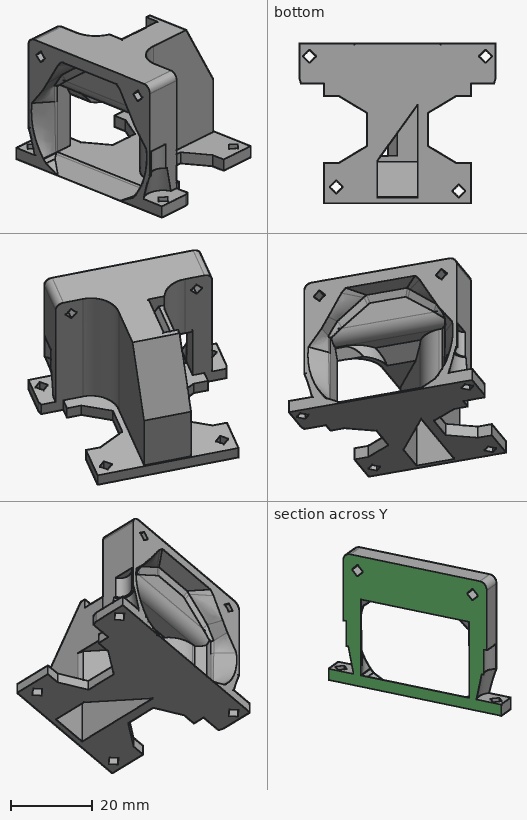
import cadquery as cq
import math

FAN_SIZE = 40.0
BLOCK_HEIGHT = 34.63
BLOCK_DEPTH = 9.8
BLOCK_CORNER_RADIUS = 2.0
FAN_CENTER_Z = BLOCK_HEIGHT - FAN_SIZE / 2
FAN_BORE_RADIUS = 19.0
FAN_SCREW_OFFSET = 16.0
FAN_SCREW_DIAMETER = 2.94

PLATE_THICKNESS = 3.1
EAR_SPAN = 48.0
EAR_CORNER_X = 0.35
EAR_CORNER_Y = 1.2
PLATE_HALF_WIDTH = 18.0
PLATE_BACK_Y = 39.11
PLATE_WAIST_HALF = 7.5
PLATE_SHOULDER_HALF = 14.35
FRONT_SHOULDER_Y = 12.9
WAIST_FRONT_Y = 17.0
WAIST_BACK_Y = 25.1
BACK_SHOULDER_Y = 29.2
MOUNT_DIAMETER = 3.2
EAR_HOLE_X = 21.56
EAR_HOLE_Y = 3.15
BACK_HOLES = [(-15.0, 35.1), (15.0, 36.1)]

NECK_HALF_WIDTH = 6.0
NECK_BACK_Y = 38.75
NECK_SLOPE_BASE_Z = 17.5
NECK_SLOPE_ANGLE = 60.0
FLARE_RADIUS = 7.0
FLARE_X = NECK_HALF_WIDTH + FLARE_RADIUS
FLARE_Y = BLOCK_DEPTH + FLARE_RADIUS

PASSAGE_HALF_WIDTH = 15.0
HOOD_KNEE_Y = 4.3
HOOD_DEPTH = 5.0
THROAT_CORNER_X = 13.0
THROAT_CORNER_Y = 6.3
THROAT_END_Y = 8.35
DUCT_WALL = 1.5
EXIT_TOP_Z = 17.15
EXIT_BACK_Y = 29.76
LIP_RADIUS = 3.2
DUCT_TOP_Z = 20.2
ROOF_SLOPE_Y = 12.07
ROOF_FLAT_Y = 16.4
DEFLECTOR_LEFT = (-5.6, 28.35)
DEFLECTOR_RIGHT = (6.1, 12.07)
RAMP_DEPTH = 4.4
RAMP_TOP_Z = 2.8

SLOT_FRONT_Y = 14.5
SLOT_BACK_Y = 27.5
SLOT_SILL_Z = 31.7
SLOT_RIGHT_X = -2.34
SLOT_CEILING_Z = 32.4
SLOT_FLOOR_ANGLE = 55.0
NECK_WALL = 1.05
DEFLECTOR_THICKNESS = 0.75

DRIVER_RADIUS = 3.05
DRIVER_TOP_Z = 16.6
HEAD_TOP_Z = 10.0
HEAD_TOP_RADIUS = 3.5
HEAD_BASE_RADIUS = 4.8

OVERCUT = 1.0


def mirrored_outline(half):
    """Close a right-hand half outline with its mirror image across x = 0."""
    return half + [(-x, y) for x, y in reversed(half)]


def diamond_hole(plane, center, diameter, start, length):
    """Four-sided hole cutter with its corners on the plane axes."""
    profile = cq.Workplane(plane).workplane(offset=start).center(*center)
    return profile.polygon(4, diameter).extrude(length)


def extrude_across(points, left_x, right_x):
    """Prism from a (y, z) outline, running along X."""
    profile = cq.Workplane("YZ").workplane(offset=left_x).polyline(points).close()
    return profile.extrude(right_x - left_x)


def make_fan_block():
    block = cq.Workplane("XY").box(FAN_SIZE, BLOCK_DEPTH, BLOCK_HEIGHT, centered=(True, False, False))
    return block.edges("|Y and >Z").fillet(BLOCK_CORNER_RADIUS)


def make_base():
    ear_half = EAR_SPAN / 2
    ears = mirrored_outline([
        (ear_half, 0),
        (ear_half, BLOCK_DEPTH - EAR_CORNER_Y),
        (ear_half - EAR_CORNER_X, BLOCK_DEPTH),
    ])
    plate = mirrored_outline([
        (PLATE_HALF_WIDTH, 0),
        (PLATE_HALF_WIDTH, FRONT_SHOULDER_Y),
        (PLATE_SHOULDER_HALF, FRONT_SHOULDER_Y),
        (PLATE_WAIST_HALF, WAIST_FRONT_Y),
        (PLATE_WAIST_HALF, WAIST_BACK_Y),
        (PLATE_SHOULDER_HALF, BACK_SHOULDER_Y),
        (PLATE_HALF_WIDTH, BACK_SHOULDER_Y),
        (PLATE_HALF_WIDTH, PLATE_BACK_Y),
    ])
    base = cq.Workplane("XY").polyline(ears).close().extrude(PLATE_THICKNESS)
    return base.union(cq.Workplane("XY").polyline(plate).close().extrude(PLATE_THICKNESS))


def flared_column(inset, front_y, back_y, bottom_z, top_z):
    """Neck-shaped column, flaring to the block, shrunk inward by inset."""
    half = NECK_HALF_WIDTH - inset
    radius = FLARE_RADIUS + inset
    diagonal = radius * math.sqrt(0.5)
    flare_end_y = FLARE_Y - radius
    mid_x = FLARE_X - diagonal
    mid_y = FLARE_Y - diagonal
    outline = (
        cq.Workplane("XY").workplane(offset=bottom_z)
        .moveTo(-FLARE_X, front_y)
        .lineTo(FLARE_X, front_y)
        .lineTo(FLARE_X, flare_end_y)
        .threePointArc((mid_x, mid_y), (half, FLARE_Y))
        .lineTo(half, back_y)
        .lineTo(-half, back_y)
        .lineTo(-half, FLARE_Y)
        .threePointArc((-mid_x, mid_y), (-FLARE_X, flare_end_y))
        .close()
    )
    return outline.extrude(top_z - bottom_z)


def space_behind_slope(wall):
    """Wedge behind the sloping back of the neck, moved inward by a wall thickness."""
    angle = math.radians(NECK_SLOPE_ANGLE)
    back_y = NECK_BACK_Y - wall / math.sin(angle)
    slope_run = (BLOCK_HEIGHT - NECK_SLOPE_BASE_Z) / math.tan(angle)
    outline = [
        (back_y, NECK_SLOPE_BASE_Z),
        (NECK_BACK_Y + OVERCUT, NECK_SLOPE_BASE_Z),
        (NECK_BACK_Y + OVERCUT, BLOCK_HEIGHT),
        (back_y - slope_run, BLOCK_HEIGHT),
    ]
    return extrude_across(outline, -NECK_HALF_WIDTH, NECK_HALF_WIDTH)


def make_neck():
    neck = flared_column(0, THROAT_END_Y, NECK_BACK_Y, 0, BLOCK_HEIGHT)
    return neck.cut(space_behind_slope(0))


def fan_section(workplane, half, arc_mid):
    """Closed fan opening section; its lower sides bow out when arc_mid is given."""
    shoulder = half[-2]
    foot = half[-1]
    section = workplane.moveTo(*half[0])
    for point in half[1:-1]:
        section = section.lineTo(*point)
    if arc_mid:
        section = section.threePointArc(arc_mid, foot)
    else:
        section = section.lineTo(*foot)
    section = section.lineTo(-foot[0], foot[1])
    if arc_mid:
        section = section.threePointArc((-arc_mid[0], arc_mid[1]), (-shoulder[0], shoulder[1]))
    else:
        section = section.lineTo(-shoulder[0], shoulder[1])
    for x, z in reversed(half[:-2]):
        section = section.lineTo(-x, z)
    return section.close()


def bore_half_width(z):
    return math.sqrt(FAN_BORE_RADIUS ** 2 - (z - FAN_CENTER_Z) ** 2)


def make_fan_cavity():
    """Hood tapering from the bored front opening to the back of the block."""
    shoulder_z = 17.0
    mid_z = FAN_CENTER_Z - 5.0
    front = [
        (9.1, 31.5),
        (10.2, 30.3),
        (13.65, 24.4),
        (15.4, 21.5),
        (bore_half_width(shoulder_z), shoulder_z),
        (bore_half_width(PLATE_THICKNESS), PLATE_THICKNESS),
    ]
    knee_width = 15.3
    knee = [
        (5.3, 30.9),
        (6.0, 30.4),
        (12.9, 25.1),
        (knee_width, 21.4),
        (knee_width, shoulder_z),
        (PASSAGE_HALF_WIDTH, PLATE_THICKNESS),
    ]
    back = [
        (4.7, 28.9),
        (5.24, 28.5),
        (12.0, 23.5),
        (PASSAGE_HALF_WIDTH, 21.0),
        (PASSAGE_HALF_WIDTH, shoulder_z),
        (PASSAGE_HALF_WIDTH, PLATE_THICKNESS),
    ]
    front_plane = cq.Workplane("XZ")
    mouth = fan_section(front_plane, front, (bore_half_width(mid_z), mid_z))
    bend = fan_section(mouth.workplane(offset=-HOOD_KNEE_Y), knee, None)
    throat = fan_section(bend.workplane(offset=HOOD_KNEE_Y - HOOD_DEPTH), back, None)
    return throat.loft(ruled=True, combine=True)


def make_entry_ramp():
    """Floor ramp from the bottom front edge up to the passage floor."""
    mouth = mirrored_outline([
        (10.2, 0),
        (14.2, 2.1),
        (bore_half_width(PLATE_THICKNESS), PLATE_THICKNESS),
    ])
    opening = cq.Workplane("XZ").polyline(mouth).close().extrude(-HOOD_DEPTH)
    above_ramp = extrude_across(
        [
            (0, 0),
            (RAMP_DEPTH, RAMP_TOP_Z),
            (HOOD_DEPTH, PLATE_THICKNESS),
            (0, PLATE_THICKNESS),
        ],
        -PASSAGE_HALF_WIDTH,
        PASSAGE_HALF_WIDTH,
    )
    return opening.intersect(above_ramp)


def deflector_y(x):
    """Y of the deflector's front face at the given x."""
    slope = (DEFLECTOR_RIGHT[1] - DEFLECTOR_LEFT[1]) / (DEFLECTOR_RIGHT[0] - DEFLECTOR_LEFT[0])
    return DEFLECTOR_LEFT[1] + slope * (x - DEFLECTOR_LEFT[0])


def make_throat():
    """Straight start of the passage behind the hood, with its right corner cut off."""
    outline = [
        (-PASSAGE_HALF_WIDTH, HOOD_DEPTH),
        (PASSAGE_HALF_WIDTH, HOOD_DEPTH),
        (PASSAGE_HALF_WIDTH, THROAT_CORNER_Y),
        (THROAT_CORNER_X, THROAT_END_Y),
        (-PASSAGE_HALF_WIDTH, THROAT_END_Y),
    ]
    return cq.Workplane("XY").polyline(outline).close().extrude(BLOCK_HEIGHT)


def make_duct():
    """Passage inside the neck, turned to the left by the diagonal deflector."""
    column = flared_column(DUCT_WALL, HOOD_DEPTH, EXIT_BACK_Y, 0, BLOCK_HEIGHT)
    lip_end_y = HOOD_DEPTH + LIP_RADIUS
    lip_top_z = DUCT_TOP_Z + LIP_RADIUS
    lip_diagonal = LIP_RADIUS * math.sqrt(0.5)
    under_roof = (
        cq.Workplane("YZ").workplane(offset=-PASSAGE_HALF_WIDTH)
        .moveTo(HOOD_DEPTH, PLATE_THICKNESS)
        .lineTo(HOOD_DEPTH, lip_top_z)
        .threePointArc((lip_end_y - lip_diagonal, lip_top_z - lip_diagonal), (lip_end_y, DUCT_TOP_Z))
        .lineTo(ROOF_SLOPE_Y, DUCT_TOP_Z)
        .lineTo(ROOF_FLAT_Y, EXIT_TOP_Z)
        .lineTo(EXIT_BACK_Y, EXIT_TOP_Z)
        .lineTo(EXIT_BACK_Y, PLATE_THICKNESS)
        .close()
        .extrude(2 * PASSAGE_HALF_WIDTH)
    )
    before_deflector = (
        cq.Workplane("XY")
        .moveTo(-PASSAGE_HALF_WIDTH, HOOD_DEPTH)
        .lineTo(PASSAGE_HALF_WIDTH, HOOD_DEPTH)
        .lineTo(PASSAGE_HALF_WIDTH, DEFLECTOR_RIGHT[1])
        .lineTo(*DEFLECTOR_RIGHT)
        .lineTo(*DEFLECTOR_LEFT)
        .lineTo(-PASSAGE_HALF_WIDTH, DEFLECTOR_LEFT[1])
        .close()
        .extrude(BLOCK_HEIGHT)
    )
    return column.union(make_throat()).intersect(under_roof).intersect(before_deflector)


def make_side_exit():
    """Opening through the left of the neck and the back of the block."""
    outline = [
        (-PASSAGE_HALF_WIDTH, HOOD_DEPTH),
        (0, HOOD_DEPTH),
        (0, deflector_y(0)),
        DEFLECTOR_LEFT,
        (-NECK_HALF_WIDTH, EXIT_BACK_Y),
        (-PASSAGE_HALF_WIDTH, EXIT_BACK_Y),
    ]
    profile = cq.Workplane("XY").workplane(offset=PLATE_THICKNESS).polyline(outline).close()
    exit_void = profile.extrude(EXIT_TOP_Z - PLATE_THICKNESS)
    lip_end_y = HOOD_DEPTH + LIP_RADIUS
    sloped_roof = extrude_across(
        [(lip_end_y, EXIT_TOP_Z), (lip_end_y, DUCT_TOP_Z), (BLOCK_DEPTH, EXIT_TOP_Z)],
        -PASSAGE_HALF_WIDTH,
        -NECK_HALF_WIDTH + DUCT_WALL,
    )
    return exit_void.union(sloped_roof)


def make_wire_slot():
    """Slot at the left of the neck that slants down to the right into the shaft."""
    right_x = SLOT_RIGHT_X + BLOCK_HEIGHT - SLOT_CEILING_Z
    sill_x = -NECK_HALF_WIDTH + NECK_WALL
    floor_drop = (right_x - sill_x) * math.tan(math.radians(SLOT_FLOOR_ANGLE))
    outline = [
        (-FLARE_X, BLOCK_HEIGHT),
        (SLOT_RIGHT_X, BLOCK_HEIGHT),
        (right_x, SLOT_CEILING_Z),
        (right_x, SLOT_SILL_Z - floor_drop),
        (sill_x, SLOT_SILL_Z),
        (-FLARE_X, SLOT_SILL_Z),
    ]
    profile = cq.Workplane("XZ").workplane(offset=-SLOT_FRONT_Y).polyline(outline).close()
    return profile.extrude(SLOT_FRONT_Y - SLOT_BACK_Y)


def make_wire_shaft():
    """Hollow behind the deflector and the sloping back, open at the bottom."""
    run_x = DEFLECTOR_RIGHT[0] - DEFLECTOR_LEFT[0]
    run_y = DEFLECTOR_LEFT[1] - DEFLECTOR_RIGHT[1]
    wall_shift_y = DEFLECTOR_THICKNESS * math.hypot(run_x, run_y) / run_x
    inner_x = NECK_HALF_WIDTH - NECK_WALL
    back_y = NECK_BACK_Y - NECK_WALL
    outline = [
        (-inner_x, back_y),
        (inner_x, back_y),
        (inner_x, deflector_y(inner_x) + wall_shift_y),
        (-inner_x, deflector_y(-inner_x) + wall_shift_y),
    ]
    shaft = cq.Workplane("XY").polyline(outline).close().extrude(SLOT_CEILING_Z)
    return shaft.cut(space_behind_slope(NECK_WALL))


def make_driver_clearance(side):
    """Stepped round clearance above one ear hole; side is -1 or 1."""
    profile = (
        cq.Workplane("XZ")
        .moveTo(0, PLATE_THICKNESS)
        .lineTo(HEAD_BASE_RADIUS, PLATE_THICKNESS)
        .lineTo(HEAD_TOP_RADIUS, HEAD_TOP_Z)
        .lineTo(DRIVER_RADIUS, HEAD_TOP_Z)
        .lineTo(DRIVER_RADIUS, DRIVER_TOP_Z)
        .lineTo(0, DRIVER_TOP_Z)
        .close()
    )
    cutter = profile.revolve(360, (0, 0, 0), (0, 1, 0))
    return cutter.translate((side * EAR_HOLE_X, EAR_HOLE_Y, 0))


def cut_screw_holes(part):
    base_holes = BACK_HOLES + [(-EAR_HOLE_X, EAR_HOLE_Y), (EAR_HOLE_X, EAR_HOLE_Y)]
    for center in base_holes:
        part = part.cut(diamond_hole("XY", center, MOUNT_DIAMETER, 0, PLATE_THICKNESS))
    for side in (-1, 1):
        center = (side * FAN_SCREW_OFFSET, FAN_CENTER_Z + FAN_SCREW_OFFSET)
        part = part.cut(diamond_hole("XZ", center, FAN_SCREW_DIAMETER, OVERCUT, -BLOCK_DEPTH - 2 * OVERCUT))
    return part


body = make_fan_block().union(make_base()).union(make_neck())
body = body.cut(make_fan_cavity()).cut(make_entry_ramp())
body = body.cut(make_duct().union(make_side_exit()))
body = body.cut(make_wire_slot()).cut(make_wire_shaft())
for ear_side in (-1, 1):
    body = body.cut(make_driver_clearance(ear_side))
result = cut_screw_holes(body)